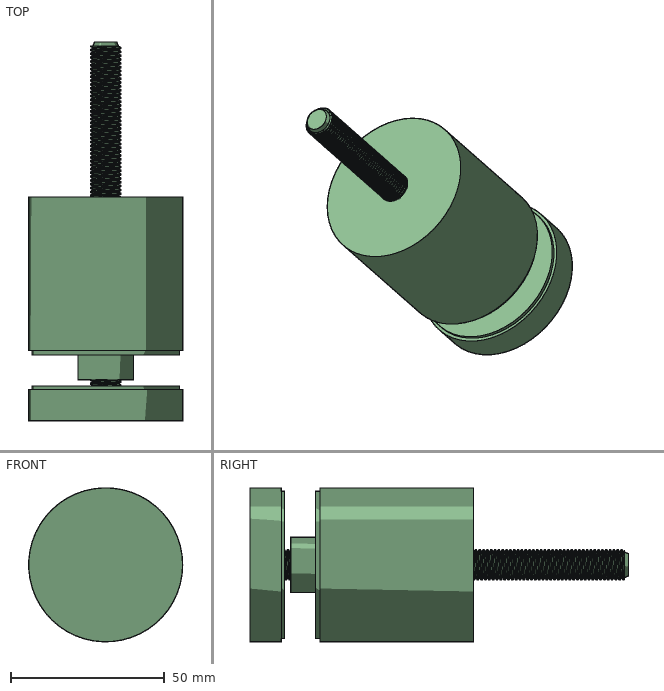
import cadquery as cq
import math

TOTAL_LENGTH = 123.0

BODY_DIAMETER = 50.0
PAD_DIAMETER = 48.0
SLEEVE_DIAMETER = 18.1
CAP_THICKNESS = 10.2
CAP_PAD_THICKNESS = 1.1
SLEEVE_LENGTH = 8.0
HOUSING_PAD_THICKNESS = 1.5
HOUSING_LENGTH = 49.9
STUD_PROJECTION = 50.3

THREAD_DIAMETER = 10.0
THREAD_PITCH = THREAD_DIAMETER / 8
THREAD_DEPTH = 0.7
CREST_WIDTH = THREAD_PITCH / 4
ROOT_WIDTH = THREAD_PITCH / 8
THREAD_TURNS = 94
THREAD_START_ANGLE = 180
FLANK_SEGMENTS = 4
TIP_LENGTH = 1.4
TIP_BASE_DIAMETER = 8.4
TIP_END_DIAMETER = 7.3
BORE_CLEARANCE = 0.1
BORE_DIAMETER = THREAD_DIAMETER + BORE_CLEARANCE

THREADED_LENGTH = THREAD_TURNS * THREAD_PITCH
STUD_LENGTH = THREADED_LENGTH + TIP_LENGTH
STUD_FRONT = TOTAL_LENGTH - STUD_LENGTH
HOUSING_BACK = TOTAL_LENGTH - STUD_PROJECTION
HOUSING_FRONT = HOUSING_BACK - HOUSING_LENGTH
HOUSING_PAD_FRONT = HOUSING_FRONT - HOUSING_PAD_THICKNESS
SLEEVE_FRONT = HOUSING_PAD_FRONT - SLEEVE_LENGTH


def disc(diameter, start, length):
    """Solid cylinder about the Y axis, running from Y = start towards +Y."""
    return cq.Workplane("XZ", origin=(0, start, 0)).circle(diameter / 2).extrude(-length)


def ring(diameter, start, length):
    """Cylinder about the Y axis with a through bore for the stud."""
    return disc(diameter, start, length).cut(disc(BORE_DIAMETER, start, length))


def make_cap():
    """Round cap with a blind hole at the back that takes the end of the stud."""
    stud_hole = disc(BORE_DIAMETER, STUD_FRONT, CAP_THICKNESS - STUD_FRONT)
    return disc(BODY_DIAMETER, 0, CAP_THICKNESS).cut(stud_hole)


def thread_section():
    """Cross-section of the thread: a crest arc and a root arc, joined by two flank spirals."""
    crest_radius = THREAD_DIAMETER / 2
    root_radius = crest_radius - THREAD_DEPTH
    half_crest = math.pi * CREST_WIDTH / THREAD_PITCH
    half_root = math.pi * ROOT_WIDTH / THREAD_PITCH
    flank = math.pi - half_crest - half_root

    def polar(radius, angle):
        return radius * math.cos(angle), radius * math.sin(angle)

    def falling_flank(t):
        return polar(crest_radius - THREAD_DEPTH * t, half_crest + flank * t)

    def rising_flank(t):
        return polar(root_radius + THREAD_DEPTH * t, math.pi + half_root + flank * t)

    return (
        cq.Workplane("XY")
        .moveTo(*polar(crest_radius, -half_crest))
        .threePointArc((crest_radius, 0), polar(crest_radius, half_crest))
        .parametricCurve(falling_flank, N=FLANK_SEGMENTS, makeWire=False)
        .threePointArc((-root_radius, 0), polar(root_radius, math.pi + half_root))
        .parametricCurve(rising_flank, N=FLANK_SEGMENTS, makeWire=False)
        .wire()
    )


def make_tip():
    """Cone frustum on top of the thread, standing about the Z axis."""
    return (
        cq.Workplane("XY", origin=(0, 0, THREADED_LENGTH))
        .circle(TIP_BASE_DIAMETER / 2)
        .workplane(offset=TIP_LENGTH)
        .circle(TIP_END_DIAMETER / 2)
        .loft()
    )


def make_stud():
    """Fully threaded rod with a tapered tip, closed face by face into one solid."""
    turn = thread_section().twistExtrude(THREAD_PITCH, 360)
    tip = make_tip()

    faces = turn.faces("<Z").vals() + tip.faces("not <Z").vals()
    for index in range(THREAD_TURNS):
        faces += turn.faces("not |Z").translate((0, 0, index * THREAD_PITCH)).vals()

    thread_end = turn.faces(">Z").translate((0, 0, THREADED_LENGTH - THREAD_PITCH)).val()
    tip_foot = tip.faces("<Z").val()
    faces.append(cq.Face.makeFromWires(thread_end.outerWire(), [tip_foot.outerWire()]))

    stud = cq.Workplane(cq.Solid.makeSolid(cq.Shell.makeShell(faces)))
    stud = stud.rotate((0, 0, 0), (0, 0, 1), THREAD_START_ANGLE)
    return stud.rotate((0, 0, 0), (1, 0, 0), -90).translate((0, STUD_FRONT, 0))


cap = make_cap()
cap_pad = ring(PAD_DIAMETER, CAP_THICKNESS, CAP_PAD_THICKNESS)
sleeve = ring(SLEEVE_DIAMETER, SLEEVE_FRONT, SLEEVE_LENGTH)
housing_pad = ring(PAD_DIAMETER, HOUSING_PAD_FRONT, HOUSING_PAD_THICKNESS)
housing = ring(BODY_DIAMETER, HOUSING_FRONT, HOUSING_LENGTH)
stud = make_stud()

bodies = [cap, cap_pad, sleeve, housing_pad, housing, stud]
result = cq.Compound.makeCompound([body.solids().val() for body in bodies])